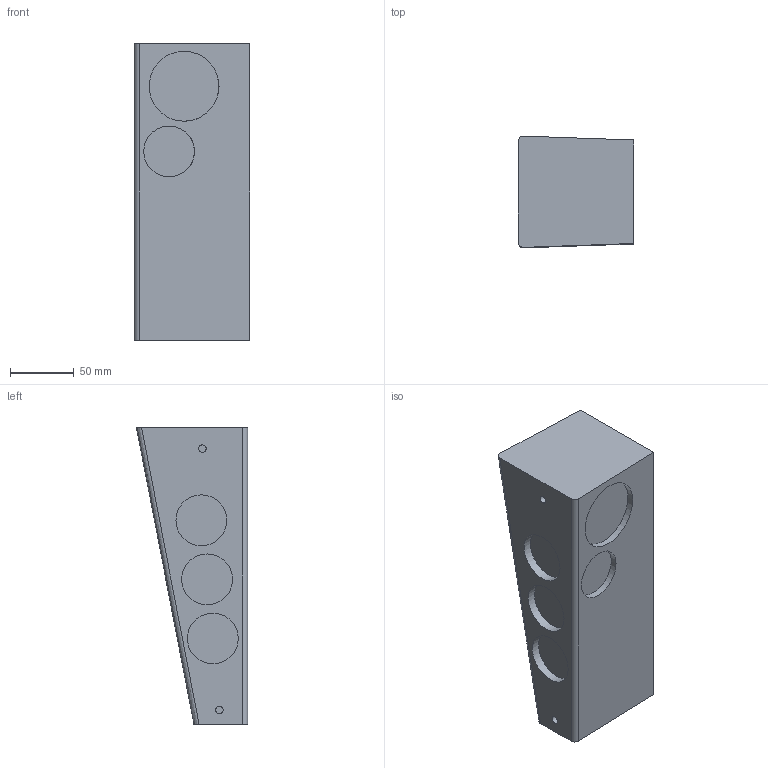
import cadquery as cq
import math

WIDTH = 91.0
HEIGHT = 233.48
TOP_DEPTH = 87.85
BOTTOM_DEPTH = 42.5
SIDE_DRAFT = 2.0
EDGE_RADIUS = 4.0

FRONT_RECESSES = [(55.0, 39.3, 33.5), (40.0, 27.5, 84.8)]
FRONT_RECESS_DEPTH = 5.2

SIDE_RECESS_DIAMETER = 40.0
SIDE_RECESS_COUNT = 3
SIDE_RECESS_FIRST_DROP = 72.9
SIDE_RECESS_PITCH = 46.5
SIDE_RECESS_FORWARD_SHIFT = 0.3
SIDE_RECESS_DEPTH = 7.0

SMALL_HOLE_DIAMETER = 6.0
SMALL_HOLES = [(35.8, 16.5), (22.4, 222.2)]
SMALL_HOLE_DEPTH = 7.0

DRAFT_SLOPE = math.tan(math.radians(SIDE_DRAFT))


def side_depth(drop):
    """Depth along Y of the -X side at a distance below the top."""
    return TOP_DEPTH + (BOTTOM_DEPTH - TOP_DEPTH) * drop / HEIGHT


def cross_section(z, depth):
    """Horizontal section, narrowing from the -X side to the +X side."""
    inset = WIDTH * DRAFT_SLOPE
    return (
        cq.Workplane("XY", origin=(0, 0, z))
        .polyline([(0, 0), (WIDTH, inset), (WIDTH, depth - inset), (0, depth)])
        .close()
        .wires()
        .val()
    )


def housing():
    """Tapered block with its two upright -X edges rounded."""
    sections = [cross_section(0, BOTTOM_DEPTH), cross_section(HEIGHT, TOP_DEPTH)]
    block = cq.Workplane(cq.Solid.makeLoft(sections, True))
    return block.faces("<X").edges("not(|Y)").fillet(EDGE_RADIUS)


def front_recess(diameter, x, drop):
    """Cutter square to the drafted front face."""
    centre = cq.Vector(x, x * DRAFT_SLOPE, HEIGHT - drop)
    inward = cq.Vector(-DRAFT_SLOPE, 1, 0)
    return cq.Solid.makeCylinder(diameter / 2, FRONT_RECESS_DEPTH, centre, inward)


def side_hole(diameter, y, drop, depth):
    """Cutter square to the -X face."""
    centre = cq.Vector(0, y, HEIGHT - drop)
    return cq.Solid.makeCylinder(diameter / 2, depth, centre, cq.Vector(1, 0, 0))


result = housing()

for diameter, x, drop in FRONT_RECESSES:
    result = result.cut(cq.Workplane(front_recess(diameter, x, drop)))

for index in range(SIDE_RECESS_COUNT):
    drop = SIDE_RECESS_FIRST_DROP + index * SIDE_RECESS_PITCH
    y = side_depth(drop) / 2 - SIDE_RECESS_FORWARD_SHIFT
    cutter = side_hole(SIDE_RECESS_DIAMETER, y, drop, SIDE_RECESS_DEPTH)
    result = result.cut(cq.Workplane(cutter))

for y, drop in SMALL_HOLES:
    cutter = side_hole(SMALL_HOLE_DIAMETER, y, drop, SMALL_HOLE_DEPTH)
    result = result.cut(cq.Workplane(cutter))